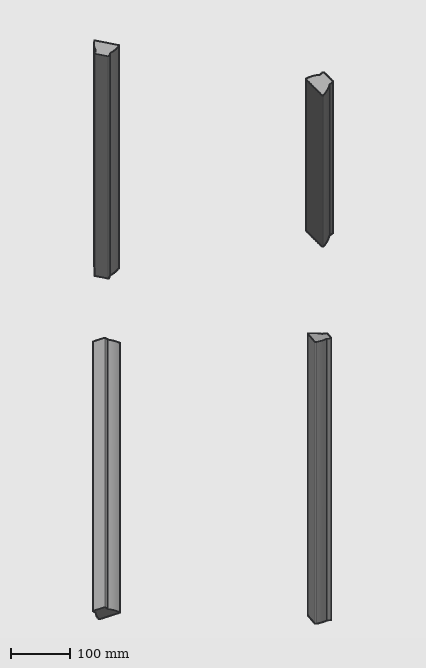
import cadquery as cq

length = 508.0
back_width = 44.0
depth = 32.0
neck_width = 25.5
neck_depth = 8.5
corner_radius = 1.5
flank_bulge = 1.5

half_back = back_width / 2
half_neck = neck_width / 2
front_y = -depth / 2
back_y = depth / 2
shoulder_y = front_y + neck_depth


def make_bar():
    """Symmetric bar: straight neck in front, bulging flanks widening to a flat back."""
    return (
        cq.Workplane("XY")
        .workplane(offset=-length / 2)
        .moveTo(-half_neck, front_y)
        .lineTo(half_neck, front_y)
        .lineTo(half_neck, shoulder_y)
        .sagittaArc((half_back, back_y), -flank_bulge)
        .lineTo(-half_back, back_y)
        .sagittaArc((-half_neck, shoulder_y), -flank_bulge)
        .close()
        .extrude(length)
    )


def round_corners(bar):
    """Round the four long edges of the front and back faces."""
    return bar.faces("<Y or >Y").edges("|Z").fillet(corner_radius)


result = round_corners(make_bar())